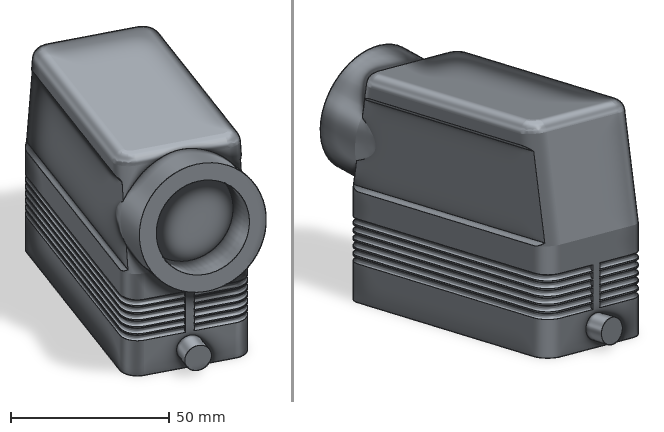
import cadquery as cq
import math

length = 93.5
width = 43.0
height = 76.1
shoulder_z = 36.9
taper = 10.0
corner_radius = 6.0
top_radius = 4.0
taper_tan = math.tan(math.radians(taper))

recess_bottom_z = 36.6
recess_top_z = 68.4
recess_depth = 1.4

groove_count = 6
groove_radius = 1.0
groove_pitch = 2.5
groove_first_z = 13.8
groove_gap = 3.0

pin_diameter = 9.0
pin_span = 107.9
pin_z = 7.0

overall_length = 115.8
overall_height = 77.6
collar_radius = width / 2
bore_diameter = 31.5
collar_root_inset = 2.0
cone_length = 9.3
collar_x = overall_length - pin_span / 2 - collar_radius * math.sin(math.radians(taper))
collar_z = overall_height - collar_radius * math.cos(math.radians(taper))


def wall_x(z):
    """Half length of the body at height z on the tapered part."""
    return length / 2 - (z - shoulder_z) * taper_tan


def make_body():
    half_length = length / 2
    half_top = wall_x(height)
    outline = [
        (-half_length, 0),
        (half_length, 0),
        (half_length, shoulder_z),
        (half_top, height),
        (-half_top, height),
        (-half_length, shoulder_z),
    ]
    body = cq.Workplane("XZ").polyline(outline).close().extrude(width / 2, both=True)
    body = body.edges("(<Y or >Y) and (not #Z)").fillet(corner_radius)
    return body.faces(">Z").edges().fillet(top_radius)


def make_recess(side):
    """Flat recess with 45 degree upper and lower flanks; side is +1 or -1 in Y."""
    outer_y = side * width / 2
    inner_y = side * (width / 2 - recess_depth)
    outline = [
        (outer_y, recess_bottom_z),
        (inner_y, recess_bottom_z + recess_depth),
        (inner_y, recess_top_z - recess_depth),
        (outer_y, recess_top_z),
    ]
    return cq.Workplane("YZ").polyline(outline).close().extrude(length / 2, both=True)


def make_groove(center_z):
    """Half-round groove around the body, interrupted in the middle of both ends."""
    plane = cq.Workplane("XY").workplane(offset=center_z)
    block = plane.rect(length, width).extrude(groove_radius).edges("|Z").fillet(corner_radius)
    path = block.faces("<Z").wires()
    profile = cq.Workplane("YZ").center(-width / 2, center_z).circle(groove_radius)
    gap = plane.box(length + 2 * groove_radius, groove_gap, 2 * groove_radius)
    return profile.sweep(path).cut(gap)


def make_collar():
    """Collar outside and its bore, revolved about the tilted collar axis."""
    tilt = math.radians(taper)
    face = cq.Plane(
        origin=(collar_x, 0, collar_z),
        xDir=(0, 1, 0),
        normal=(math.cos(tilt), 0, math.sin(tilt)),
    )
    wall_distance = (collar_x - wall_x(collar_z)) * math.cos(tilt)
    root = wall_distance + collar_root_inset
    cone_end_radius = collar_radius - cone_length * taper_tan
    half_section = [
        (0, 0),
        (collar_radius, 0),
        (collar_radius, -root),
        (cone_end_radius, -root - cone_length),
        (0, -root - cone_length),
    ]
    section_plane = cq.Plane(origin=face.origin, xDir=face.xDir, normal=face.xDir.cross(face.zDir))
    outside = cq.Workplane(section_plane).polyline(half_section).close().revolve(360, (0, 0), (0, 1))
    bore = cq.Workplane(face).circle(bore_diameter / 2).extrude(-wall_distance)
    return outside, bore


result = make_body()
for side in (-1, 1):
    result = result.cut(make_recess(side))
for index in range(groove_count):
    result = result.cut(make_groove(groove_first_z + index * groove_pitch))
pins = cq.Workplane("YZ").center(0, pin_z).circle(pin_diameter / 2).extrude(pin_span / 2, both=True)
result = result.union(pins)
collar, bore = make_collar()
result = result.union(collar).cut(bore)